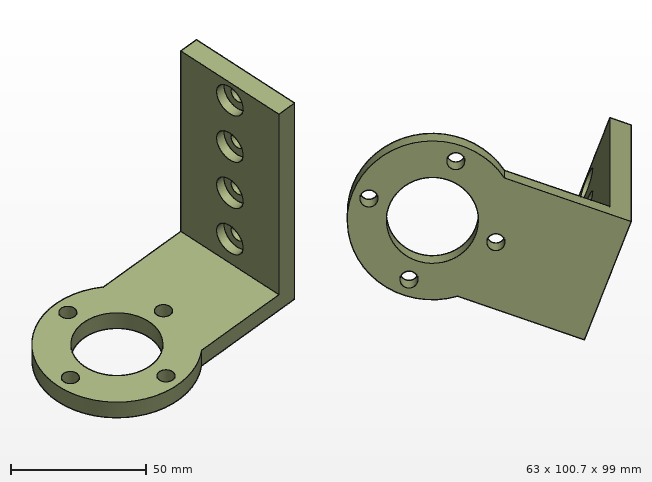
import cadquery as cq

length = 100.7
height = 99.0
ring_diameter = 63.0
arm_width = 50.0
base_thickness = 8.0
wall_thickness = 8.5

bore_diameter = 34.0
bolt_circle_diameter = 50.0
bolt_hole_diameter = 6.6
bolt_count = 4

wall_hole_diameter = 6.3
counterbore_diameter = 13.5
counterbore_depth = 4.0
wall_hole_count = 4
wall_hole_spacing = 23.4
top_hole_offset = 9.0

back_y = length - ring_diameter / 2
wall_front_y = back_y - wall_thickness


def make_base():
    """Flat arm ending in a round ring with a bore and bolt holes."""
    ring = cq.Workplane("XY").circle(ring_diameter / 2).extrude(base_thickness)
    arm = cq.Workplane("XY").box(arm_width, back_y, base_thickness, centered=(True, False, False))
    bore = cq.Workplane("XY").circle(bore_diameter / 2).extrude(base_thickness)
    bolt_holes = (
        cq.Workplane("XY")
        .polarArray(bolt_circle_diameter / 2, 0, 360, bolt_count)
        .circle(bolt_hole_diameter / 2)
        .extrude(base_thickness)
    )
    return ring.union(arm).cut(bore).cut(bolt_holes)


def make_wall():
    """Upright plate with a column of holes counterbored from the ring side."""
    wall = (
        cq.Workplane("XY")
        .box(arm_width, wall_thickness, height, centered=(True, False, False))
        .translate((0, wall_front_y, 0))
    )
    hole_centres = [
        (0, height - top_hole_offset - i * wall_hole_spacing) for i in range(wall_hole_count)
    ]
    front_plane = cq.Workplane("XZ", origin=(0, wall_front_y, 0)).pushPoints(hole_centres)
    through_holes = front_plane.circle(wall_hole_diameter / 2).extrude(-wall_thickness)
    counterbores = front_plane.circle(counterbore_diameter / 2).extrude(-counterbore_depth)
    return wall.cut(through_holes).cut(counterbores)


result = make_base().union(make_wall())